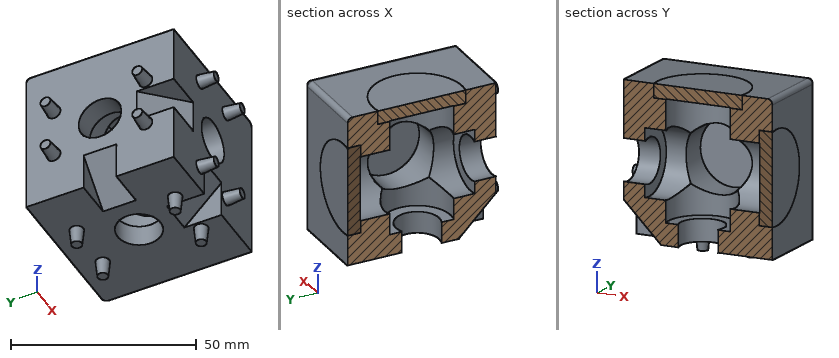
import cadquery as cq
import math

cube_size = 45.0
half_cube = cube_size / 2
corner_radius = 1.5

mouth_diameter = 13.0
mouth_length = 6.5
chamber_diameter = 20.0

plug_diameter = 27.0
plug_thickness = 4.0

notch_width = 10.0
notch_depth = 8.0
notch_leg = notch_depth * math.sqrt(2)

pin_length = 5.0
pin_base_diameter = 4.0
pin_tip_diameter = 3.0
close_pitch = 15.0
wide_pitch = 30.0
side_wide_pitch = 28.0


def face_plane(outward, x_dir):
    """Plane on the cube face with this outward normal, its local z pointing out of the cube."""
    origin = tuple(half_cube * component for component in outward)
    return cq.Plane(origin=origin, xDir=x_dir, normal=outward)


plug_planes = [
    face_plane((1, 0, 0), (0, 1, 0)),
    face_plane((0, 1, 0), (0, 0, 1)),
    face_plane((0, 0, 1), (1, 0, 0)),
]

pinned_faces = [
    (face_plane((-1, 0, 0), (0, 1, 0)), side_wide_pitch, close_pitch),
    (face_plane((0, -1, 0), (1, 0, 0)), close_pitch, wide_pitch),
    (face_plane((0, 0, -1), (1, 0, 0)), close_pitch, wide_pitch),
]


def make_block():
    """Cube with the three edges that meet at the +X +Y +Z corner rounded."""
    block = cq.Workplane("XY").box(cube_size, cube_size, cube_size)
    rounded_edges = block.edges("(>X and >Y) or (>X and >Z) or (>Y and >Z)")
    return rounded_edges.fillet(corner_radius)


def make_notch(plane_name):
    """Triangular prism that cuts the cube edge normal to the named plane, centred along that edge."""
    corner = -half_cube
    leg_end = corner + notch_leg
    outline = [(corner, corner), (leg_end, corner), (corner, leg_end)]
    return cq.Workplane(plane_name).polyline(outline).close().extrude(notch_width / 2, both=True)


def make_pins(plane, x_pitch, y_pitch):
    """Four tapered pins in a rectangle, standing on a face plane."""
    base_radius = pin_base_diameter / 2
    taper_angle = math.degrees(math.atan2(base_radius - pin_tip_diameter / 2, pin_length))
    bases = cq.Workplane(plane).rarray(x_pitch, y_pitch, 2, 2).circle(base_radius)
    return bases.extrude(pin_length, taper=taper_angle)


def make_plug(plane):
    """Disc that closes one chamber and sits flush with the face."""
    return cq.Workplane(plane).circle(plug_diameter / 2).extrude(-plug_thickness)


def make_cavity(plane):
    """Plug recess in a face, chamber below it, and narrower mouth through the opposite face."""
    chamber = cq.Workplane(plane).circle(chamber_diameter / 2).extrude(mouth_length - cube_size)
    mouth = cq.Workplane(plane).circle(mouth_diameter / 2).extrude(-cube_size)
    return make_plug(plane).union(chamber).union(mouth)


def make_housing():
    housing = make_block()
    for plane in plug_planes:
        housing = housing.cut(make_cavity(plane))
    for plane_name in ("XY", "YZ", "ZX"):
        housing = housing.cut(make_notch(plane_name))
    for plane, x_pitch, y_pitch in pinned_faces:
        housing = housing.union(make_pins(plane, x_pitch, y_pitch))
    return housing


housing = make_housing()
plugs = [make_plug(plane) for plane in plug_planes]

result = cq.Compound.makeCompound([housing.val(), *[plug.val() for plug in plugs]])